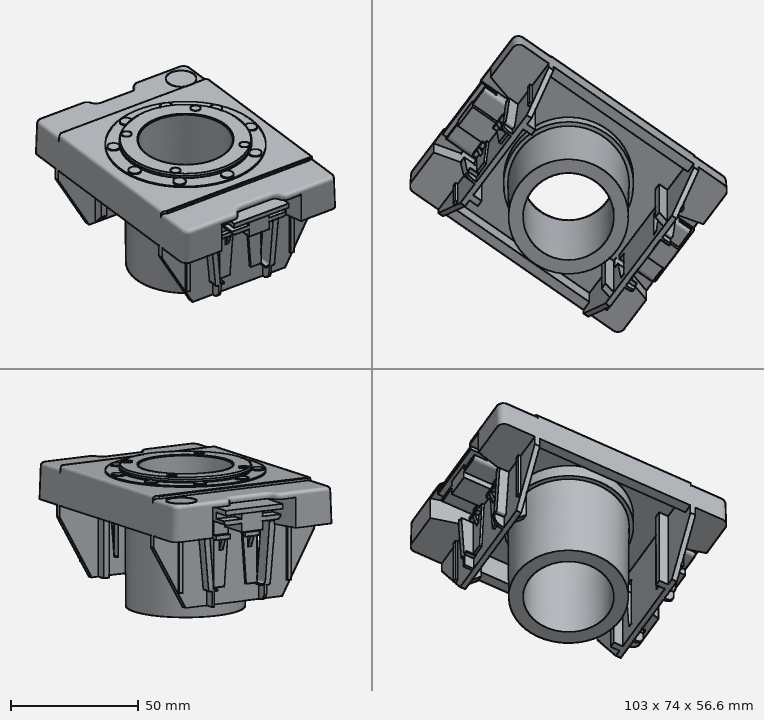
import cadquery as cq


LENGTH = 103.0
WIDTH = 74.0
TOP_NARROWING = 0.6
PLATE_TOP = 14.6
CORNER_R = 3.1
EDGE_R = 1.5
CAVITY_HALF_X = 34.0
CAVITY_HALF_Y = 33.0
CEILING = 12.2

PANEL_TOP = 15.9
PANEL_BOTTOM = 12.4
PANEL_HALF_X = 35.8
PANEL_CORNER_X = 1.3
PANEL_CORNER_Y = 2.3
PANEL_BEVEL = 0.3

RING_R = 31.5
RING_TOP = 16.4
STUD_COUNT = 9
STUD_D = 5.0
STUD_CIRCLE_R = 28.3
STUD_TOP = 16.9

LABEL_D = 12.0
LABEL_X = -43.0
LABEL_Y = 28.3
MARK_DEPTH = 0.2

NOTCH_DEPTH = 4.0
NOTCH_FLOOR_HALF = 7.2
NOTCH_MOUTH_HALF = 13.1

RECESS_MOUTH_HALF = 19.1
RECESS_HALF = 16.1

WING_INNER_X = 34.0
WING_OUTER_X = 36.3
LEG_BOTTOM = -30.3
WING_SHOULDER_Z = -4.6
WING_FOOT_HALF = 22.2
SIDE_RIB_INNER_Y = 24.1
SIDE_RIB_OUTER_Y = 25.8
SIDE_RIB_X = 37.3
SIDE_RIB_BOTTOM = -23.9
BACK_RIB_INNER_Y = 16.7
BACK_RIB_OUTER_Y = 19.3
BACK_RIB_X = 30.0
BACK_RIB_CHAMFER_Z = 4.4
FOOT_RIB_INNER_Y = 11.5
FOOT_RIB_OUTER_Y = 12.6
FOOT_RIB_R = 3.6

FRAME_X = 40.4
FRAME_BOTTOM = -24.0
FRAME_TOP_HALF = 16.4
FRAME_FOOT_HALF = 14.1
FRAME_CORNER_R = 0.8
OPENING_SHOULDER_Z = 1.3
OPENING_NECK_HALF = 13.9
OPENING_FOOT_HALF = 11.8
OPENING_BOTTOM = -23.4
OPENING_R = 1.0

TONGUE_HALF = 10.0
TONGUE_TOP = 10.3
PAD_X = 37.3
PAD_TOP_INNER_Y = 3.2
PAD_FOOT_INNER_Y = 5.0
LEDGE_X = 39.1
LEDGE_TOP = -2.3
LEDGE_BOTTOM = -4.0
GUSSET_BOTTOM = -8.5
GUSSET_Y = 6.6
GUSSET_THICKNESS = 1.6
HEAD_HALF = 13.1
LIP_X = LENGTH / 2
LIP_BOTTOM = 8.3
FLANGE_X = 50.0
FLANGE_TOP = 5.9
FLANGE_BOTTOM = 4.0
FLANGE_CORNER = 1.8
GROOVE_X = 44.3
GRIP_HALF = 4.8
GRIP_BOTTOM = 0.6

INSERT_TOP = 18.6
INSERT_BOTTOM = -38.0
COLLAR_R = 51.0 / 2
COLLAR_BOTTOM = 5.9
DISC_R = 26.1
DISC_BOTTOM = 16.9
DISC_BEVEL_X = 0.4
DISC_BEVEL_Z = 0.8
TUBE_TOP_R = 23.8
TUBE_BOTTOM_R = 23.5
BORE_RIM_R = 19.0
BORE_RIM_BEVEL = 0.4
BORE_BOTTOM_R = 17.8
DIMPLE_D = 4.0
DIMPLE_PITCH = 33.2


def block(x0, x1, y0, y1, z0, z1):
    """Box between two opposite corners."""
    return cq.Workplane("XY").box(x1 - x0, y1 - y0, z1 - z0, centered=False).translate((x0, y0, z0))


def yz_slab(points, x_out, x_in):
    """Slab with a (y, z) outline between two distances from the middle, on the -X side."""
    return cq.Workplane("YZ", origin=(-x_out, 0, 0)).polyline(points).close().extrude(x_out - x_in)


def both_y(solid):
    """A feature together with its mirror image across Y = 0."""
    return solid.union(solid.mirror("XZ"))


def both_x(solid):
    """A feature together with its mirror image across X = 0."""
    return solid.union(solid.mirror("YZ"))


def mirrored_outline(half):
    """Closed (y, z) outline from its +Y half, listed from top to bottom."""
    return half + [(-y, z) for y, z in reversed(half)]


def mirrored_plan(half):
    """Closed (x, y) outline from its +Y half."""
    return half + [(x, -y) for x, y in reversed(half)]


def half_width_at(z):
    """Half of the plate width at a height, following the lean of its long sides."""
    return WIDTH / 2 - TOP_NARROWING * z / PLATE_TOP


def leaning_slab(half_x, z0, z1):
    """Slab along X whose long sides follow the lean of the plate."""
    outline = mirrored_outline([(half_width_at(z1), z1), (half_width_at(z0), z0)])
    return yz_slab(outline, half_x, -half_x)


def notch():
    """Finger notch in the -X side, with S-shaped ends made of two equal arcs."""
    mouth_x = -LENGTH / 2
    floor_x = mouth_x + NOTCH_DEPTH
    mid_x = (mouth_x + floor_x) / 2
    mid_y = (NOTCH_MOUTH_HALF + NOTCH_FLOOR_HALF) / 2
    rise = NOTCH_MOUTH_HALF - NOTCH_FLOOR_HALF
    arc_r = (NOTCH_DEPTH**2 + rise**2) / (4 * NOTCH_DEPTH)
    return (
        cq.Workplane("XY", origin=(0, 0, CEILING))
        .moveTo(mouth_x, NOTCH_MOUTH_HALF)
        .radiusArc((mid_x, mid_y), -arc_r)
        .radiusArc((floor_x, NOTCH_FLOOR_HALF), arc_r)
        .lineTo(floor_x, -NOTCH_FLOOR_HALF)
        .radiusArc((mid_x, -mid_y), arc_r)
        .radiusArc((mouth_x, -NOTCH_MOUTH_HALF), -arc_r)
        .close()
        .extrude(PLATE_TOP - CEILING)
    )


def clip_recess():
    """Recess under the notch, narrowing inward to the front of the frame."""
    half = [(-LENGTH / 2, RECESS_MOUTH_HALF), (-FRAME_X, RECESS_HALF)]
    return cq.Workplane("XY").polyline(mirrored_plan(half)).close().extrude(CEILING)


def panel():
    """Raised panel with cut corners and rounded long edges."""
    body = leaning_slab(PANEL_HALF_X, PANEL_BOTTOM, PANEL_TOP)
    body = body.edges("|X and >Z").fillet(EDGE_R)
    body = body.faces(">Z").edges("|Y").chamfer(PANEL_BEVEL)
    half_y = half_width_at(PANEL_BOTTOM)
    half = [
        (-PANEL_HALF_X, half_y - PANEL_CORNER_Y),
        (-PANEL_HALF_X + PANEL_CORNER_X, half_y),
        (PANEL_HALF_X - PANEL_CORNER_X, half_y),
        (PANEL_HALF_X, half_y - PANEL_CORNER_Y),
    ]
    plan = (
        cq.Workplane("XY", origin=(0, 0, PANEL_BOTTOM))
        .polyline(mirrored_plan(half))
        .close()
        .extrude(PANEL_TOP - PANEL_BOTTOM)
    )
    return body.intersect(plan)


def plate():
    """Hollow base plate with panel, ring, studs and the hole for the insert."""
    body = leaning_slab(LENGTH / 2, 0, PLATE_TOP)
    body = body.faces("<X or >X").edges("not |Y").fillet(CORNER_R)
    body = body.cut(both_x(notch()))
    body = body.faces(">Z").edges().fillet(EDGE_R)
    body = body.union(panel())
    ring = cq.Workplane("XY", origin=(0, 0, PANEL_BOTTOM)).circle(RING_R).extrude(RING_TOP - PANEL_BOTTOM)
    studs = (
        cq.Workplane("XY", origin=(0, 0, PANEL_BOTTOM))
        .polarArray(STUD_CIRCLE_R, 0, 360, STUD_COUNT)
        .circle(STUD_D / 2)
        .extrude(STUD_TOP - PANEL_BOTTOM)
    )
    body = body.union(ring).union(studs)
    cavity = block(-CAVITY_HALF_X, CAVITY_HALF_X, -CAVITY_HALF_Y, CAVITY_HALF_Y, 0, CEILING)
    body = body.cut(cavity).cut(both_x(clip_recess()))
    body = body.cut(cq.Workplane("XY").circle(COLLAR_R).extrude(STUD_TOP))
    label = (
        cq.Workplane("XY", origin=(LABEL_X, LABEL_Y, PLATE_TOP - MARK_DEPTH))
        .circle(LABEL_D / 2)
        .extrude(MARK_DEPTH)
    )
    return body.cut(label)


def opening():
    """Cutter through plate, frame and wing, wide beside the head and narrowing downward."""
    half = [
        (RECESS_HALF, CEILING),
        (RECESS_HALF, OPENING_SHOULDER_Z),
        (OPENING_NECK_HALF, OPENING_SHOULDER_Z),
        (OPENING_FOOT_HALF, OPENING_BOTTOM),
    ]
    cutter = yz_slab(mirrored_outline(half), FRAME_X, WING_INNER_X)
    return cutter.edges("|X and (<Y or >Y or <Z)").fillet(OPENING_R)


def wing():
    """Flat plate hanging from the base plate, tapering to its foot."""
    half = [(WIDTH / 2, 0), (WIDTH / 2, WING_SHOULDER_Z), (WING_FOOT_HALF, LEG_BOTTOM)]
    return yz_slab(mirrored_outline(half), WING_OUTER_X, WING_INNER_X)


def frame():
    """Raised rim around the opening; its bottom is interrupted at the tongue."""
    half = [(FRAME_TOP_HALF, 0), (FRAME_FOOT_HALF, FRAME_BOTTOM)]
    rim = yz_slab(mirrored_outline(half), FRAME_X, WING_OUTER_X)
    rim = rim.edges("|X and <Z").fillet(FRAME_CORNER_R)
    gap = block(-FRAME_X, -WING_OUTER_X, -TONGUE_HALF, TONGUE_HALF, FRAME_BOTTOM, 0)
    return rim.cut(gap)


def side_ribs():
    """Thin ribs on the outer face of the wing, one on each side of the frame."""
    rib = block(-SIDE_RIB_X, -WING_OUTER_X, SIDE_RIB_INNER_Y, SIDE_RIB_OUTER_Y, SIDE_RIB_BOTTOM, 0)
    return both_y(rib)


def back_ribs(chamfered):
    """Two ribs behind the wing, running up to the cavity ceiling."""
    rib = block(-WING_INNER_X, -BACK_RIB_X, BACK_RIB_INNER_Y, BACK_RIB_OUTER_Y, LEG_BOTTOM, CEILING)
    if chamfered:
        corner = (
            cq.Workplane("XZ", origin=(0, BACK_RIB_OUTER_Y, 0))
            .polyline(
                [
                    (-WING_INNER_X, LEG_BOTTOM),
                    (-BACK_RIB_X, LEG_BOTTOM),
                    (-BACK_RIB_X, LEG_BOTTOM + BACK_RIB_CHAMFER_Z),
                ]
            )
            .close()
            .extrude(BACK_RIB_OUTER_Y - BACK_RIB_INNER_Y)
        )
        rib = rib.cut(corner)
    return both_y(rib)


def foot_ribs(square_back):
    """Two ribs under the frame; the one on the +Y side can keep a square toe."""
    rib = block(-FRAME_X, -WING_OUTER_X, FOOT_RIB_INNER_Y, FOOT_RIB_OUTER_Y, LEG_BOTTOM, FRAME_BOTTOM)
    rounded = rib.edges("|Y and <X and <Z").fillet(FOOT_RIB_R)
    back = rib if square_back else rounded
    return back.union(rounded.mirror("XZ"))


def tongue():
    """Spring tongue rising from the wing's foot, with its pads, ledges and gripping head."""
    body = block(-WING_OUTER_X, -WING_INNER_X, -TONGUE_HALF, TONGUE_HALF, OPENING_BOTTOM, TONGUE_TOP)
    pad = yz_slab(
        [
            (PAD_TOP_INNER_Y, FLANGE_BOTTOM),
            (TONGUE_HALF, FLANGE_BOTTOM),
            (TONGUE_HALF, OPENING_BOTTOM),
            (PAD_FOOT_INNER_Y, OPENING_BOTTOM),
            (PAD_TOP_INNER_Y, GRIP_BOTTOM),
        ],
        PAD_X,
        WING_OUTER_X,
    )
    pad_slope = (PAD_FOOT_INNER_Y - PAD_TOP_INNER_Y) / (GRIP_BOTTOM - OPENING_BOTTOM)
    ledge_inner_y = PAD_TOP_INNER_Y + pad_slope * (GRIP_BOTTOM - LEDGE_BOTTOM)
    ledge = block(-LEDGE_X, -PAD_X, ledge_inner_y, TONGUE_HALF, LEDGE_BOTTOM, LEDGE_TOP)
    gusset = (
        cq.Workplane("XZ", origin=(0, GUSSET_Y, 0))
        .polyline([(-LEDGE_X, LEDGE_BOTTOM), (-PAD_X, LEDGE_BOTTOM), (-PAD_X, GUSSET_BOTTOM)])
        .close()
        .extrude(GUSSET_THICKNESS / 2, both=True)
    )
    body = body.union(both_y(pad.union(ledge).union(gusset)))
    return body.union(head())


def head():
    """Gripping head: top lip, groove, flange with rounded lower corners and central grip."""
    lip = block(-LIP_X, -WING_INNER_X, -HEAD_HALF, HEAD_HALF, LIP_BOTTOM, TONGUE_TOP)
    core = block(-GROOVE_X, -WING_INNER_X, -HEAD_HALF, HEAD_HALF, FLANGE_TOP, LIP_BOTTOM)
    flange = block(-FLANGE_X, -WING_INNER_X, -HEAD_HALF, HEAD_HALF, FLANGE_BOTTOM, FLANGE_TOP)
    flange = flange.edges("|X and <Z").fillet(FLANGE_CORNER)
    grip = block(-FLANGE_X, -WING_OUTER_X, -GRIP_HALF, GRIP_HALF, GRIP_BOTTOM, LIP_BOTTOM)
    return lip.union(core).union(flange).union(grip)


def leg(at_minus_x):
    """One leg with its spring tongue; the -X leg has chamfered back ribs and one square toe."""
    body = wing().union(frame()).cut(opening())
    body = body.union(tongue()).union(side_ribs())
    body = body.union(back_ribs(chamfered=at_minus_x)).union(foot_ribs(square_back=at_minus_x))
    return body if at_minus_x else body.mirror("YZ")


def housing():
    """Base plate with its two legs, joined into one solid."""
    return plate().cut(both_x(opening())).union(leg(True)).union(leg(False))


def insert():
    """Tube with collar and disc, turned around the Z axis, with four dimples in the disc."""
    profile = [
        (BORE_BOTTOM_R, INSERT_BOTTOM),
        (TUBE_BOTTOM_R, INSERT_BOTTOM),
        (TUBE_TOP_R, COLLAR_BOTTOM),
        (COLLAR_R, COLLAR_BOTTOM),
        (COLLAR_R, DISC_BOTTOM),
        (DISC_R, DISC_BOTTOM),
        (DISC_R, INSERT_TOP - DISC_BEVEL_Z),
        (DISC_R - DISC_BEVEL_X, INSERT_TOP),
        (BORE_RIM_R, INSERT_TOP),
        (BORE_RIM_R - BORE_RIM_BEVEL, INSERT_TOP - BORE_RIM_BEVEL),
    ]
    body = cq.Workplane("XZ").polyline(profile).close().revolve(360, (0, 0, 0), (0, 1, 0))
    dimples = (
        cq.Workplane("XY", origin=(0, 0, INSERT_TOP - MARK_DEPTH))
        .rect(DIMPLE_PITCH, DIMPLE_PITCH, forConstruction=True)
        .vertices()
        .circle(DIMPLE_D / 2)
        .extrude(MARK_DEPTH)
    )
    return body.cut(dimples)


result = cq.Compound.makeCompound([housing().val(), insert().val()])